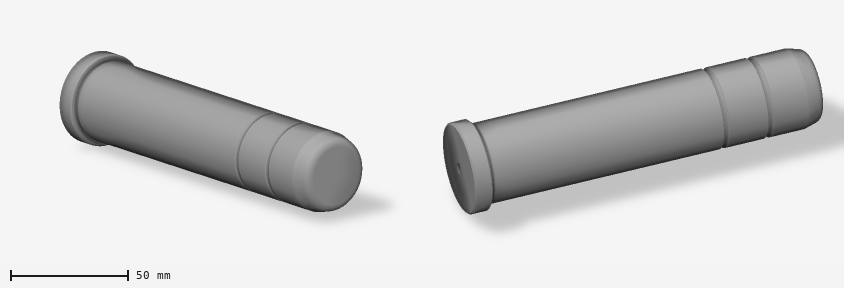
import cadquery as cq
import math

length = 160.0
head_diameter = 40.0
head_length = 8.0
head_chamfer = 0.6
shank_diameter = 35.2

undercut_depth = 0.5
undercut_end = 10.0

groove_centers = (114.9, 135.0)
groove_width = 2.7
groove_depth = 0.8

taper_start = 152.0
taper_angle = math.radians(15)
tip_radius = 3.5

hole_diameter = 3.2
countersink_diameter = 5.1
hole_depth = 8.0
drill_point_angle = math.radians(118)

head_radius = head_diameter / 2
shank_radius = shank_diameter / 2


def revolve_x(profile):
    """Revolve an XY profile about the X axis."""
    return profile.close().revolve(360, (0, 0, 0), (1, 0, 0))


def pin_body():
    """Head, undercut, shank and rounded lead-in as one turned profile."""
    undercut_radius = shank_radius - undercut_depth
    round_start = length - tip_radius * (1 - math.sin(taper_angle))
    round_start_radius = shank_radius - (round_start - taper_start) * math.tan(taper_angle)
    arc_center_x = length - tip_radius
    arc_center_y = round_start_radius - tip_radius * math.cos(taper_angle)
    middle_angle = (math.pi / 2 - taper_angle) / 2
    arc_middle = (
        arc_center_x + tip_radius * math.cos(middle_angle),
        arc_center_y + tip_radius * math.sin(middle_angle),
    )
    return revolve_x(
        cq.Workplane("XY")
        .lineTo(0, head_radius - head_chamfer)
        .lineTo(head_chamfer, head_radius)
        .lineTo(head_length - head_chamfer, head_radius)
        .lineTo(head_length, head_radius - head_chamfer)
        .lineTo(head_length, undercut_radius)
        .lineTo(undercut_end - undercut_depth, undercut_radius)
        .lineTo(undercut_end, shank_radius)
        .lineTo(taper_start, shank_radius)
        .lineTo(round_start, round_start_radius)
        .threePointArc(arc_middle, (length, arc_center_y))
        .lineTo(length, 0)
    )


def groove(center):
    """Round-bottomed ring cut into the shank."""
    return revolve_x(
        cq.Workplane("XY")
        .moveTo(center - groove_width / 2, shank_radius)
        .threePointArc(
            (center, shank_radius - groove_depth),
            (center + groove_width / 2, shank_radius),
        )
        .lineTo(center + groove_width / 2, head_radius)
        .lineTo(center - groove_width / 2, head_radius)
    )


def face_hole():
    """Countersunk hole entering the head face along +X, with a drill point."""
    hole_radius = hole_diameter / 2
    countersink_radius = countersink_diameter / 2
    countersink_depth = countersink_radius - hole_radius
    point_length = hole_radius / math.tan(drill_point_angle / 2)
    return revolve_x(
        cq.Workplane("XY")
        .moveTo(-countersink_depth, 0)
        .lineTo(-countersink_depth, countersink_radius)
        .lineTo(0, countersink_radius)
        .lineTo(countersink_depth, hole_radius)
        .lineTo(hole_depth, hole_radius)
        .lineTo(hole_depth + point_length, 0)
    )


result = pin_body().cut(face_hole())
for groove_center in groove_centers:
    result = result.cut(groove(groove_center))